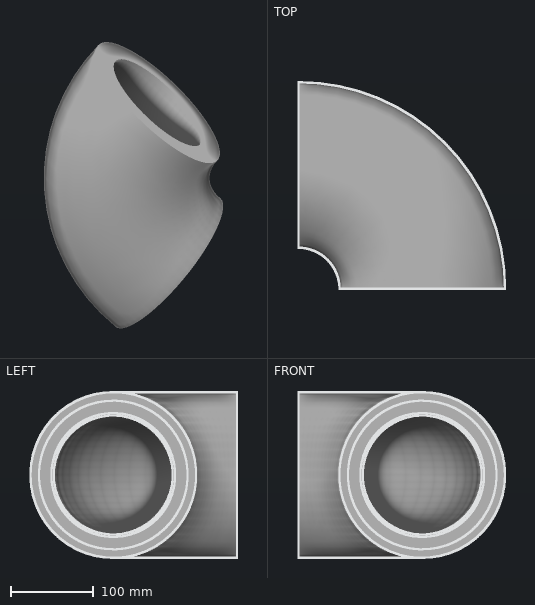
import cadquery as cq

overall_length = 250.5
jacket_diameter = 200.8
insulation_diameter = 180.0
pipe_diameter = 150.0
bore_diameter = 144.0
bend_angle = 90

bend_radius = overall_length - jacket_diameter / 2


def elbow_layer(outer_diameter, inner_diameter):
    """Ring section on the XZ plane, swept a quarter turn about Z from +X to +Y."""
    return (
        cq.Workplane("XZ")
        .center(bend_radius, 0)
        .circle(outer_diameter / 2)
        .circle(inner_diameter / 2)
        .revolve(bend_angle, (-bend_radius, 0), (-bend_radius, 1))
    )


pipe = elbow_layer(pipe_diameter, bore_diameter)
insulation = elbow_layer(insulation_diameter, pipe_diameter)
jacket = elbow_layer(jacket_diameter, insulation_diameter)

result = cq.Compound.makeCompound([pipe.val(), insulation.val(), jacket.val()])